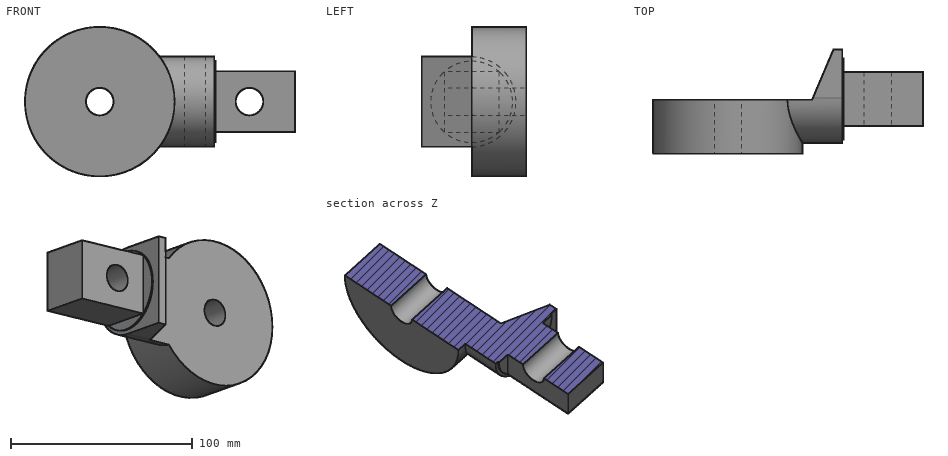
import cadquery as cq

disc_diameter = 82.7
disc_thickness = 30.0
bolt_hole_diameter = 15.1
disc_radius = disc_diameter / 2

overall_length = 149.3
tongue_end_x = overall_length - disc_radius
shoulder_x = 63.3
collar_length = 0.9
collar_end_x = shoulder_x + collar_length
tongue_hole_x = disc_diameter

neck_width = 50.0
neck_axis_y = 30.9
stop_top_y = 57.8
stop_foot_x = 46.6
stop_top_length = 5.0

tongue_axis_y = 30.3
collar_diameter = 45.1
tongue_thickness = 30.0
tongue_height = 33.7


def make_disc():
    return cq.Workplane("XZ").circle(disc_radius).extrude(-disc_thickness)


def make_neck():
    half_width = neck_width / 2
    arch = (
        cq.Workplane("YZ")
        .moveTo(neck_axis_y, half_width)
        .threePointArc((neck_axis_y - half_width, 0), (neck_axis_y, -half_width))
        .lineTo(stop_top_y, -half_width)
        .lineTo(stop_top_y, half_width)
        .close()
        .extrude(shoulder_x)
    )
    profile = (
        cq.Workplane("XY")
        .polyline([
            (0, 0),
            (shoulder_x, 0),
            (shoulder_x, stop_top_y),
            (shoulder_x - stop_top_length, stop_top_y),
            (stop_foot_x, disc_thickness),
            (0, disc_thickness),
        ])
        .close()
        .extrude(half_width, both=True)
    )
    return arch.intersect(profile)


def make_collar():
    plane = cq.Workplane("YZ", origin=(shoulder_x, tongue_axis_y, 0))
    return plane.circle(collar_diameter / 2).extrude(collar_length)


def make_tongue():
    plane = cq.Workplane("YZ", origin=(collar_end_x, tongue_axis_y, 0))
    return plane.rect(tongue_thickness, tongue_height).extrude(tongue_end_x - collar_end_x)


def make_bolt_holes():
    return (
        cq.Workplane("XZ")
        .pushPoints([(0, 0), (tongue_hole_x, 0)])
        .circle(bolt_hole_diameter / 2)
        .extrude(-stop_top_y)
    )


body = make_disc().union(make_neck()).union(make_collar()).union(make_tongue())
result = body.cut(make_bolt_holes())